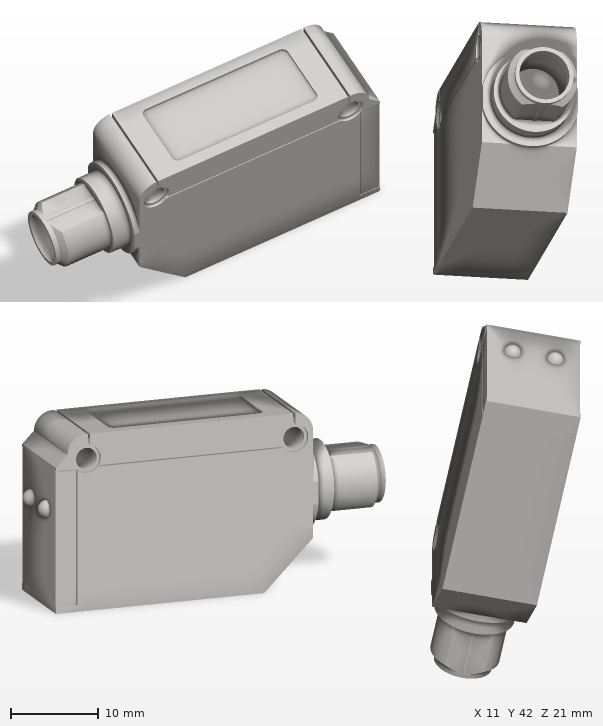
import cadquery as cq
import math

WIDTH = 11.0
HEIGHT = 21.0
TOTAL_LENGTH = 42.05
CONNECTOR_LENGTH = 9.67
LAMP_RADIUS = 1.0
LENGTH = TOTAL_LENGTH - CONNECTOR_LENGTH - LAMP_RADIUS
HALF_WIDTH = WIDTH / 2

BOTTOM_CHAMFER = 5.97
TOP_RADIUS = 2.23
REAR_STEP = 1.45

HOLE_RADIUS = 1.25
COUNTERBORE_RADIUS = 1.65
COUNTERBORE_DEPTH = 0.35
HOLE_Z = 18.0
HOLE_SPACING = 25.3
FRONT_HOLE_Y = TOP_RADIUS
REAR_HOLE_Y = FRONT_HOLE_Y + HOLE_SPACING

FRONT_SLOT_Y = 2.3
REAR_SLOT_Y = 27.35
SLOT_WIDTH = 0.3
SLOT_DEPTH = 0.6
GROOVE_Z = 17.07
GROOVE_WIDTH = 0.15
GROOVE_DEPTH = 0.25

POCKET_WIDTH = 8.25
POCKET_LENGTH = 18.85
POCKET_CENTRE_Y = 14.85
POCKET_DEPTH = 0.35
POCKET_CORNER = 0.75

WINDOW_LENGTH = 2.6
WINDOW_BOTTOM = 0.85
WINDOW_TOP = 16.95
WINDOW_SETBACK = 0.1
WINDOW_GAP = 0.13

LAMP_X = 2.5
LAMP_Z = 11.75

AXIS_Z = 11.25
FLANGE_RADIUS = 5.68
FLANGE_END = 0.67
COLLAR_RADIUS = 4.65
COLLAR_END = 2.9
BARREL_RADIUS = 4.05
BARREL_END = 8.4
TIP_RADIUS = 3.35
TIP_START = BARREL_END + BARREL_RADIUS - TIP_RADIUS
FLAT_DISTANCE = 3.3
RIB_WIDTH = 0.38
BORE_RADIUS = 2.9


def box(x_range, y_range, z_range):
    """Box between the given pairs of limits."""
    sizes = [end - start for start, end in (x_range, y_range, z_range)]
    corner = (x_range[0], y_range[0], z_range[0])
    return cq.Workplane("XY").box(*sizes, centered=False).translate(corner)


def make_housing():
    """Side outline extruded across the full width."""
    arc_shift = TOP_RADIUS * math.sqrt(0.5)
    corner_z = HEIGHT - TOP_RADIUS
    rear_arc_y = LENGTH - REAR_STEP - TOP_RADIUS
    return (
        cq.Workplane("YZ", origin=(-HALF_WIDTH, 0, 0))
        .moveTo(BOTTOM_CHAMFER, 0)
        .lineTo(LENGTH, 0)
        .lineTo(LENGTH, corner_z - REAR_STEP)
        .lineTo(LENGTH - REAR_STEP, corner_z)
        .threePointArc((rear_arc_y + arc_shift, corner_z + arc_shift), (rear_arc_y, HEIGHT))
        .lineTo(TOP_RADIUS, HEIGHT)
        .threePointArc((TOP_RADIUS - arc_shift, corner_z + arc_shift), (0, corner_z))
        .lineTo(0, BOTTOM_CHAMFER)
        .close()
        .extrude(WIDTH)
    )


def cylinder_x(radius, y, z, x_start, x_end):
    """Cylinder parallel to X."""
    return cq.Workplane("YZ", origin=(x_start, y, z)).circle(radius).extrude(x_end - x_start)


def cylinder_y(radius, start, end):
    """Cylinder on the connector axis between two distances from the front face."""
    return cq.Workplane("XZ", origin=(0, -start, AXIS_Z)).circle(radius).extrude(end - start)


def cut_mounting_hole(body, y):
    """Through hole with a counterbore on both sides."""
    floor_x = HALF_WIDTH - COUNTERBORE_DEPTH
    body = body.cut(cylinder_x(HOLE_RADIUS, y, HOLE_Z, -HALF_WIDTH, HALF_WIDTH))
    body = body.cut(cylinder_x(COUNTERBORE_RADIUS, y, HOLE_Z, -HALF_WIDTH, -floor_x))
    return body.cut(cylinder_x(COUNTERBORE_RADIUS, y, HOLE_Z, floor_x, HALF_WIDTH))


def cut_both_sides(body, depth, y_range, z_range):
    """Rectangular recess in the -X side and the same in the +X side."""
    body = body.cut(box((-HALF_WIDTH, depth - HALF_WIDTH), y_range, z_range))
    return body.cut(box((HALF_WIDTH - depth, HALF_WIDTH), y_range, z_range))


def cut_lid_slot(body, y):
    """Slot across the top, continued down both sides to the rim of the counterbore."""
    y_range = (y - SLOT_WIDTH / 2, y + SLOT_WIDTH / 2)
    body = body.cut(box((-HALF_WIDTH, HALF_WIDTH), y_range, (HEIGHT - SLOT_DEPTH, HEIGHT)))
    groove_bottom = HOLE_Z + (HOLE_RADIUS + COUNTERBORE_RADIUS) / 2
    return cut_both_sides(body, GROOVE_DEPTH, y_range, (groove_bottom, HEIGHT))


def cut_window(body):
    """Shallow recess reaching the rear face, with a deeper gap along its front and top edges."""
    front_y = LENGTH - WINDOW_LENGTH
    y_range = (front_y, LENGTH)
    z_range = (WINDOW_BOTTOM, WINDOW_TOP)
    body = cut_both_sides(body, WINDOW_SETBACK, y_range, z_range)
    body = cut_both_sides(body, GROOVE_DEPTH, (front_y, front_y + WINDOW_GAP), z_range)
    return cut_both_sides(body, GROOVE_DEPTH, y_range, (WINDOW_TOP - WINDOW_GAP, WINDOW_TOP))


def make_pocket():
    """Cutter for the top pocket, with rounded corners."""
    return (
        cq.Workplane("XY", origin=(0, POCKET_CENTRE_Y, HEIGHT - POCKET_DEPTH))
        .rect(POCKET_WIDTH, POCKET_LENGTH)
        .extrude(POCKET_DEPTH)
        .edges("|Z")
        .fillet(POCKET_CORNER)
    )


def make_lamp(x):
    """Dome standing out of the rear face; its inner half lies in the housing."""
    return cq.Workplane("XY").sphere(LAMP_RADIUS).translate((x, LENGTH, LAMP_Z))


def make_flange():
    """Round flange trimmed to the housing width."""
    trim = box((-HALF_WIDTH, HALF_WIDTH), (-FLANGE_END, 0), (0, HEIGHT))
    return cylinder_y(FLANGE_RADIUS, 0, FLANGE_END).intersect(trim)


def make_barrel():
    """Barrel with a coned end and two ribbed flats, followed by a plain round tip."""
    y_range = (-TIP_START, -COLLAR_END)
    barrel = cylinder_y(BARREL_RADIUS, COLLAR_END, BARREL_END)
    cone = (
        cq.Workplane("XZ", origin=(0, -BARREL_END, AXIS_Z))
        .circle(BARREL_RADIUS)
        .workplane(offset=TIP_START - BARREL_END)
        .circle(TIP_RADIUS)
        .loft()
    )
    flats = box(
        (-BARREL_RADIUS, BARREL_RADIUS),
        y_range,
        (AXIS_Z - FLAT_DISTANCE, AXIS_Z + FLAT_DISTANCE),
    )
    rib_slab = box(
        (-RIB_WIDTH / 2, RIB_WIDTH / 2),
        y_range,
        (AXIS_Z - TIP_RADIUS, AXIS_Z + TIP_RADIUS),
    )
    ribs = cylinder_y(TIP_RADIUS, COLLAR_END, TIP_START).intersect(rib_slab)
    tip = cylinder_y(TIP_RADIUS, TIP_START, CONNECTOR_LENGTH)
    return barrel.union(cone).intersect(flats).union(ribs).union(tip)


body = make_housing()
for hole_y in (FRONT_HOLE_Y, REAR_HOLE_Y):
    body = cut_mounting_hole(body, hole_y)
for slot_y in (FRONT_SLOT_Y, REAR_SLOT_Y):
    body = cut_lid_slot(body, slot_y)
groove_z_range = (GROOVE_Z - GROOVE_WIDTH / 2, GROOVE_Z + GROOVE_WIDTH / 2)
body = cut_both_sides(body, GROOVE_DEPTH, (FRONT_HOLE_Y, REAR_HOLE_Y), groove_z_range)
body = cut_window(body)
body = body.cut(make_pocket())
for lamp_x in (-LAMP_X, LAMP_X):
    body = body.union(make_lamp(lamp_x))

connector = make_flange().union(cylinder_y(COLLAR_RADIUS, FLANGE_END, COLLAR_END)).union(make_barrel())
connector = connector.cut(cylinder_y(BORE_RADIUS, COLLAR_END, CONNECTOR_LENGTH))

result = body.union(connector)